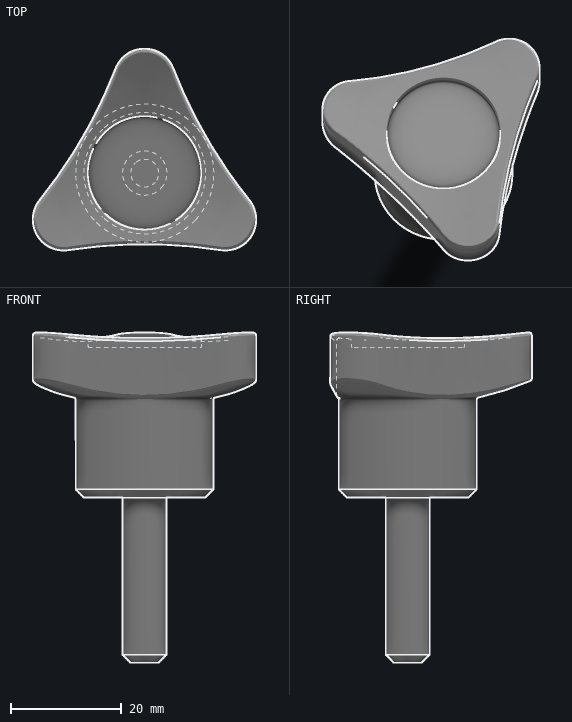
import cadquery as cq
import math

total_height = 59.75
stud_length = 29.9

lobe_count = 3
lobe_offset = 16.85
lobe_radius = 5.6
waist_radius = 12.9
edge_fillet = 0.6

dish_depth = 1.7
dish_rim_height = 59.95
tip_radius = lobe_offset + lobe_radius
surface_overrun = 0.6
rim_radius = tip_radius + surface_overrun
underside_bottom = 46.5
underside_rim_height = 51.35

recess_diameter = 20.5
recess_floor = 57.0
recess_floor_fillet = 0.3
recess_rim_fillet = 0.25

collar_diameter = 25.0
collar_chamfer = 1.5
collar_fillet = 0.3
stud_diameter = 8.0
stud_chamfer = 1.5


def polar(radius, degrees):
    angle = math.radians(degrees)
    return (radius * math.cos(angle), radius * math.sin(angle))


def head_prism():
    """Lobes joined by hollow arcs tangent to them."""
    pitch = 360 / lobe_count
    half_pitch = pitch / 2
    along = lobe_offset * math.cos(math.radians(half_pitch))
    across = lobe_offset * math.sin(math.radians(half_pitch))
    gap = waist_radius - along
    side_radius = (across**2 + gap**2 - lobe_radius**2) / (2 * (lobe_radius - gap))
    share = lobe_radius / (side_radius + lobe_radius)
    tangent_along = along + (side_radius + gap) * share
    tangent_across = across * (1 - share)
    tangent_radius = math.hypot(tangent_along, tangent_across)
    tangent_angle = half_pitch - math.degrees(math.atan2(tangent_across, tangent_along))

    first_lobe = 90
    outline = cq.Workplane("XY").moveTo(*polar(tangent_radius, first_lobe - tangent_angle))
    for index in range(lobe_count):
        lobe = first_lobe + index * pitch
        outline = outline.threePointArc(
            polar(tip_radius, lobe), polar(tangent_radius, lobe + tangent_angle)
        )
        outline = outline.threePointArc(
            polar(waist_radius, lobe + half_pitch),
            polar(tangent_radius, lobe + pitch - tangent_angle),
        )
    return outline.close().extrude(dish_rim_height + surface_overrun)


def sphere_height(bottom, rim_height, radius):
    """Height at a radius on the sphere that rises from the axis to the rim."""
    rise = rim_height - bottom
    sphere_radius = (rim_radius**2 + rise**2) / (2 * rise)
    return bottom + sphere_radius - math.sqrt(sphere_radius**2 - radius**2)


def head_envelope():
    """Turned body bounded by the domed underside and the dished top."""
    dish_bottom = dish_rim_height - dish_depth
    middle = rim_radius / 2
    dome_middle = (middle, sphere_height(underside_bottom, underside_rim_height, middle))
    dish_middle = (middle, sphere_height(dish_bottom, dish_rim_height, middle))
    return (
        cq.Workplane("XZ")
        .moveTo(0, underside_bottom)
        .threePointArc(dome_middle, (rim_radius, underside_rim_height))
        .lineTo(rim_radius, dish_rim_height)
        .threePointArc(dish_middle, (0, dish_bottom))
        .close()
        .revolve()
    )


def turned_pin(diameter, bottom, top, chamfer):
    pin = cq.Workplane("XY").workplane(offset=bottom).circle(diameter / 2).extrude(top - bottom)
    return pin.faces("<Z").chamfer(chamfer)


def recess():
    pocket = (
        cq.Workplane("XY")
        .workplane(offset=recess_floor)
        .circle(recess_diameter / 2)
        .extrude(total_height - recess_floor)
    )
    return pocket.faces("<Z").edges().fillet(recess_floor_fillet)


head = head_prism().intersect(head_envelope())
head = head.edges("not (|Z or %CIRCLE)").fillet(edge_fillet)

head = head.cut(recess())
mouth_height = sphere_height(dish_rim_height - dish_depth, dish_rim_height, recess_diameter / 2)
mouth_edge = cq.selectors.NearestToPointSelector((0, 0, mouth_height))
head = head.edges(mouth_edge).fillet(recess_rim_fillet)

collar = turned_pin(collar_diameter, stud_length, underside_rim_height, collar_chamfer)
stud = turned_pin(stud_diameter, 0, stud_length + collar_chamfer, stud_chamfer)
result = head.union(collar).union(stud)

joint_height = sphere_height(underside_bottom, underside_rim_height, collar_diameter / 2)
joint_reach = collar_diameter / 2 + collar_fillet
joint_edges = cq.selectors.BoxSelector(
    (-joint_reach, -joint_reach, joint_height - collar_fillet),
    (joint_reach, joint_reach, joint_height + collar_fillet),
    boundingbox=True,
)
result = result.edges(joint_edges).fillet(collar_fillet)